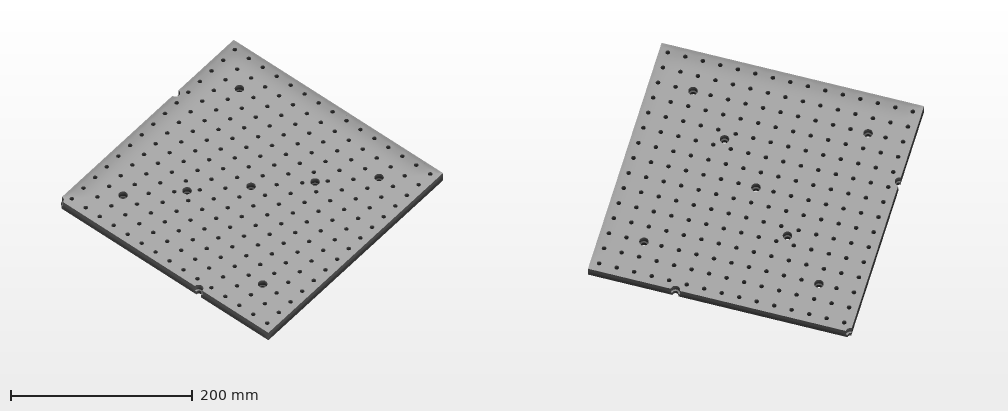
import cadquery as cq

side = 300.0
thickness = 12.5

holes_per_side = 15
pitch = side / holes_per_side
grid_hole_diameter = 5.0

bore_diameter = 6.5
counterbore_diameter = 10.5
counterbore_depth = 7.5

edge = side / 2
outer_offset = side / 3
inner_offset = side / 6

inside_points = [
    (-outer_offset, -outer_offset),
    (-outer_offset, outer_offset),
    (outer_offset, -outer_offset),
    (outer_offset, outer_offset),
    (-inner_offset, -inner_offset),
    (inner_offset, inner_offset),
    (0, 0),
]

open_points = [
    (-edge, inner_offset),
    (inner_offset, -edge),
    (-edge, -edge),
]


def make_plate():
    return cq.Workplane("XY").box(side, side, thickness, centered=(True, True, False))


def drill_grid(plate):
    return (
        plate.faces(">Z")
        .workplane(origin=(0, 0, thickness))
        .rarray(pitch, pitch, holes_per_side, holes_per_side)
        .hole(grid_hole_diameter)
    )


def drill_counterbores(plate, points):
    return (
        plate.faces(">Z")
        .workplane(origin=(0, 0, thickness))
        .pushPoints(points)
        .cboreHole(bore_diameter, counterbore_diameter, counterbore_depth)
    )


result = drill_counterbores(drill_grid(make_plate()), inside_points + open_points)